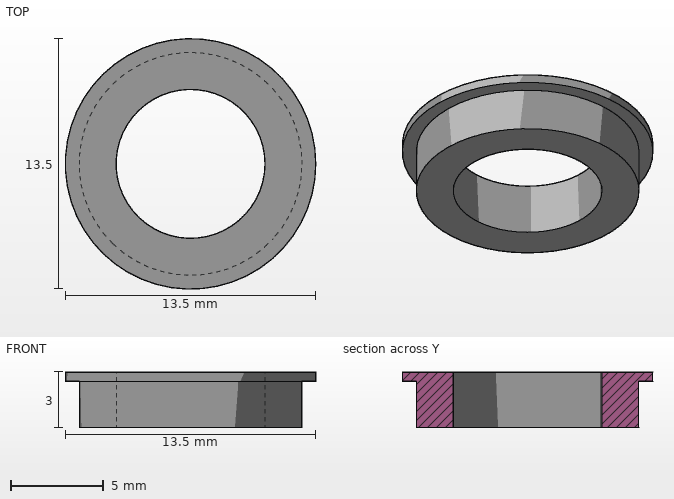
import cadquery as cq

flange_diameter = 13.5
body_diameter = 12.0
bore_diameter = 8.0
total_height = 3.0
flange_thickness = 0.5
body_height = total_height - flange_thickness

body = cq.Workplane("XY").circle(body_diameter / 2).extrude(body_height)

flange = (
    cq.Workplane("XY")
    .workplane(offset=body_height)
    .circle(flange_diameter / 2)
    .extrude(flange_thickness)
)

bore = cq.Workplane("XY").circle(bore_diameter / 2).extrude(total_height)

result = body.union(flange).cut(bore)